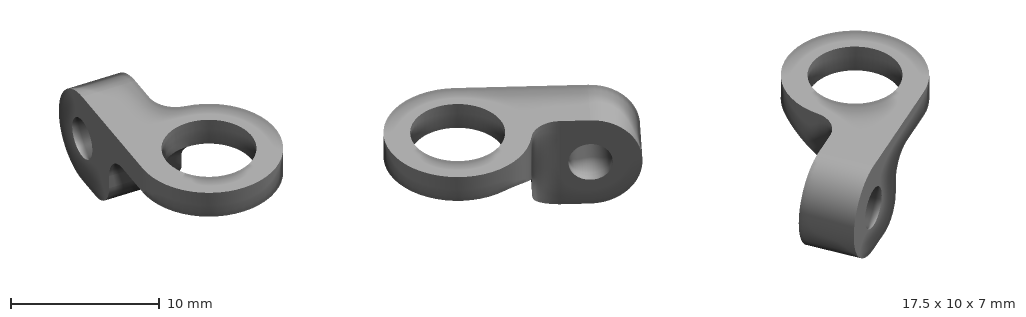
import cadquery as cq
import math

pivot_radius = 3.5
pivot_hole_diameter = 3.0
lug_width = 4.0
lug_reach = 4.0
lug_corner_radius = 2.0
plate_thickness = 2.0
plate_fillet_radius = 2.0
ring_outer_radius = 5.0
ring_hole_diameter = 6.4
ring_offset = 9.0
neck_fillet_radius = 2.0

ring_center = (ring_offset, ring_outer_radius)
right_end = ring_offset + ring_outer_radius
plate_top = pivot_radius
plate_bottom = plate_top - plate_thickness
lug_bottom = -pivot_radius
diagonal = math.sqrt(0.5)


def make_side_profile():
    """Lug and plate outline in XZ, extruded across the full depth in Y."""
    corner_x = lug_reach - lug_corner_radius
    corner_z = lug_bottom + lug_corner_radius
    fillet_x = lug_reach + plate_fillet_radius
    fillet_z = plate_bottom - plate_fillet_radius
    corner_mid = (corner_x + lug_corner_radius * diagonal, corner_z - lug_corner_radius * diagonal)
    fillet_mid = (fillet_x - plate_fillet_radius * diagonal, fillet_z + plate_fillet_radius * diagonal)
    return (
        cq.Workplane("XZ")
        .moveTo(0, plate_top)
        .lineTo(right_end, plate_top)
        .lineTo(right_end, plate_bottom)
        .lineTo(fillet_x, plate_bottom)
        .threePointArc(fillet_mid, (lug_reach, fillet_z))
        .lineTo(lug_reach, corner_z)
        .threePointArc(corner_mid, (corner_x, lug_bottom))
        .lineTo(0, lug_bottom)
        .threePointArc((-pivot_radius, 0), (0, plate_top))
        .close()
        .extrude(-2 * ring_outer_radius)
    )


def make_plan_profile():
    """Lug and ring outline in XY, extruded over the full height in Z."""
    ring_x, ring_y = ring_center

    neck_y = lug_width + neck_fillet_radius
    center_distance = ring_outer_radius + neck_fillet_radius
    neck_x = ring_x - math.sqrt(center_distance**2 - (neck_y - ring_y) ** 2)
    neck_angle = math.atan2(ring_y - neck_y, ring_x - neck_x)
    mid_angle = (neck_angle - math.pi / 2) / 2

    def neck_point(angle):
        return (
            neck_x + neck_fillet_radius * math.cos(angle),
            neck_y + neck_fillet_radius * math.sin(angle),
        )

    return (
        cq.Workplane("XY", origin=(0, 0, lug_bottom))
        .moveTo(-pivot_radius, 0)
        .lineTo(ring_x, 0)
        .threePointArc((right_end, ring_y), neck_point(neck_angle))
        .threePointArc(neck_point(mid_angle), (neck_x, lug_width))
        .lineTo(-pivot_radius, lug_width)
        .close()
        .extrude(2 * pivot_radius)
    )


def make_pivot_hole():
    """Cross hole through the lug along Y."""
    return cq.Workplane("XZ").circle(pivot_hole_diameter / 2).extrude(-lug_width)


def make_ring_hole():
    """Vertical hole through the ring and the edge of the plate fillet below it."""
    return (
        cq.Workplane("XY", origin=(*ring_center, lug_bottom))
        .circle(ring_hole_diameter / 2)
        .extrude(2 * pivot_radius)
    )


body = make_side_profile().intersect(make_plan_profile())
result = body.cut(make_pivot_hole()).cut(make_ring_hole())